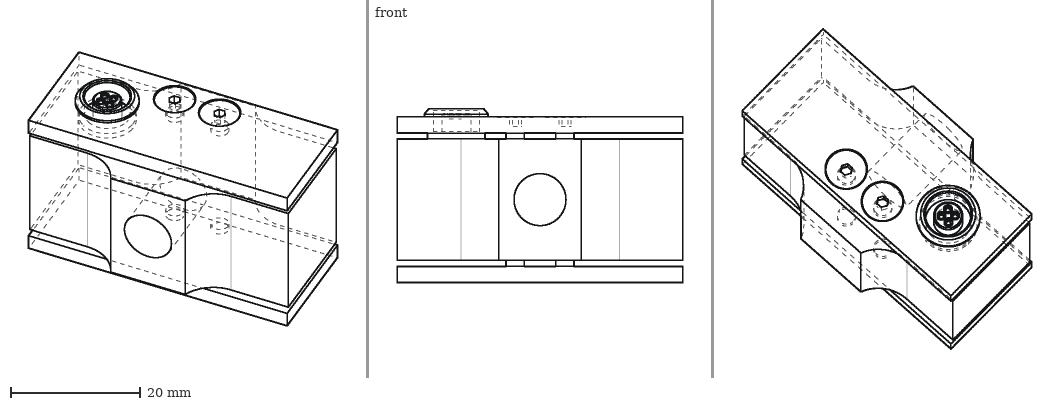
import cadquery as cq
import math

LENGTH = 44.2
PAD_SPAN = 25.4
TOTAL_HEIGHT = 26.9

BLOCK_BOTTOM = 3.45
BLOCK_TOP = 22.25
END_WIDTH = 17.4
PAD_LENGTH = 12.75
BLEND_START = 12.3
BORE_DIAMETER = 8.05
BORE_DEPTH = PAD_SPAN / 2

PLATE_WIDTH = 18.3
LOWER_PLATE_THICKNESS = 2.5
UPPER_PLATE_BOTTOM = 23.1
UPPER_PLATE_TOP = 25.7

SCREW_SPACING = 7.7
SCREW_Y = 5.13
SHANK_RADIUS = 1.4
RECESS_RADIUS = 3.25
RECESS_DEPTH = 0.15
CONE_ANGLE = 90
HEX_ACROSS_FLATS = 1.65
HEX_DEPTH = 1.33

CONNECTOR_X = -12.95
FLANGE_RADIUS = 4.95
FLANGE_TOP_RADIUS = 4.25
FLANGE_RIM_HEIGHT = 0.4
BARREL_RADIUS = 4.45
CAVITY_RADIUS = 3.55
CAVITY_DEPTH = 3.55
CAVITY_CHAMFER = 0.2
INSERT_RADIUS = 2.25
INSERT_CHAMFER = 0.2
INSERT_RECESS = 0.7
SOCKET_PITCH = 1.5
CONTACT_RECESS_RADIUS = 0.65
CONTACT_RECESS_DEPTH = 0.25
SOCKET_RADIUS = 0.4
SOCKET_DEPTH = 0.9


def cylinder(x, y, z_bottom, z_top, radius):
    """Vertical cylinder between two heights."""
    return cq.Workplane("XY", origin=(x, y, z_bottom)).circle(radius).extrude(z_top - z_bottom)


def make_block():
    """Block with a raised pad on each long side, blended in by concave arcs."""
    half_length = LENGTH / 2
    half_end = END_WIDTH / 2
    half_pad = PAD_LENGTH / 2
    pad_y = PAD_SPAN / 2
    run = BLEND_START - half_pad
    rise = pad_y - half_end
    radius = (run**2 + rise**2) / (2 * rise)
    half_sweep = math.asin(run / radius) / 2
    mid_x = BLEND_START - radius * math.sin(half_sweep)
    mid_y = half_end + radius * (1 - math.cos(half_sweep))

    block = (
        cq.Workplane("XY", origin=(0, 0, BLOCK_BOTTOM))
        .moveTo(-half_length, -half_end)
        .lineTo(-BLEND_START, -half_end)
        .threePointArc((-mid_x, -mid_y), (-half_pad, -pad_y))
        .lineTo(half_pad, -pad_y)
        .threePointArc((mid_x, -mid_y), (BLEND_START, -half_end))
        .lineTo(half_length, -half_end)
        .lineTo(half_length, half_end)
        .lineTo(BLEND_START, half_end)
        .threePointArc((mid_x, mid_y), (half_pad, pad_y))
        .lineTo(-half_pad, pad_y)
        .threePointArc((-mid_x, mid_y), (-BLEND_START, half_end))
        .lineTo(-half_length, half_end)
        .close()
        .extrude(BLOCK_TOP - BLOCK_BOTTOM)
    )
    bore = (
        cq.Workplane("XZ", origin=(0, -pad_y, (BLOCK_BOTTOM + BLOCK_TOP) / 2))
        .circle(BORE_DIAMETER / 2)
        .extrude(-BORE_DEPTH)
    )
    return block.cut(bore)


def make_plate(z_bottom, z_top):
    """Flat cover plate over the full length."""
    plate = cq.Workplane("XY", origin=(0, 0, z_bottom)).rect(LENGTH, PLATE_WIDTH)
    return plate.extrude(z_top - z_bottom)


def add_screw(body, x):
    """Screw shank crossing both gaps, with a sunk head and hex socket on top."""
    for gap_bottom, gap_top in (
        (LOWER_PLATE_THICKNESS, BLOCK_BOTTOM),
        (BLOCK_TOP, UPPER_PLATE_BOTTOM),
    ):
        body = body.union(cylinder(x, SCREW_Y, gap_bottom, gap_top, SHANK_RADIUS))

    head_z = UPPER_PLATE_TOP - RECESS_DEPTH
    recess = (
        cq.Workplane("XY", origin=(x, SCREW_Y, UPPER_PLATE_TOP))
        .circle(RECESS_RADIUS)
        .extrude(-RECESS_DEPTH, taper=CONE_ANGLE / 2)
    )
    hex_socket = (
        cq.Workplane("XY", origin=(x, SCREW_Y, head_z))
        .polygon(6, HEX_ACROSS_FLATS / math.cos(math.pi / 6))
        .extrude(-HEX_DEPTH)
    )
    return body.cut(recess).cut(hex_socket)


def turned(*profile):
    """Solid of revolution about the connector axis from (radius, height) points."""
    solid = cq.Workplane("XZ").polyline(profile).close().revolve(360, (0, 0, 0), (0, 1, 0))
    return solid.translate((CONNECTOR_X, 0, 0))


def add_connector(body):
    """Bevelled flange with a chamfered cavity, a central insert and four stepped sockets."""
    flange_shoulder = UPPER_PLATE_TOP + FLANGE_RIM_HEIGHT
    cavity_floor = TOTAL_HEIGHT - CAVITY_DEPTH
    insert_face = TOTAL_HEIGHT - INSERT_RECESS

    shell = turned(
        (0, BLOCK_TOP),
        (BARREL_RADIUS, BLOCK_TOP),
        (BARREL_RADIUS, UPPER_PLATE_TOP),
        (FLANGE_RADIUS, UPPER_PLATE_TOP),
        (FLANGE_RADIUS, flange_shoulder),
        (FLANGE_TOP_RADIUS, TOTAL_HEIGHT),
        (0, TOTAL_HEIGHT),
    )
    cavity = turned(
        (0, cavity_floor),
        (CAVITY_RADIUS, cavity_floor),
        (CAVITY_RADIUS, TOTAL_HEIGHT - CAVITY_CHAMFER),
        (CAVITY_RADIUS + CAVITY_CHAMFER, TOTAL_HEIGHT),
        (0, TOTAL_HEIGHT),
    )
    insert = cylinder(CONNECTOR_X, 0, cavity_floor, insert_face, INSERT_RADIUS)
    insert = insert.faces(">Z").chamfer(INSERT_CHAMFER)
    body = body.union(shell).cut(cavity).union(insert)

    for side_x in (-1, 1):
        for side_y in (-1, 1):
            x = CONNECTOR_X + side_x * SOCKET_PITCH / 2
            y = side_y * SOCKET_PITCH / 2
            for radius, depth in (
                (CONTACT_RECESS_RADIUS, CONTACT_RECESS_DEPTH),
                (SOCKET_RADIUS, SOCKET_DEPTH),
            ):
                body = body.cut(cylinder(x, y, insert_face - depth, insert_face, radius))
    return body


result = make_block()
result = result.union(make_plate(0, LOWER_PLATE_THICKNESS))
result = result.union(make_plate(UPPER_PLATE_BOTTOM, UPPER_PLATE_TOP))
for screw_side in (-1, 1):
    result = add_screw(result, screw_side * SCREW_SPACING / 2)
result = add_connector(result)